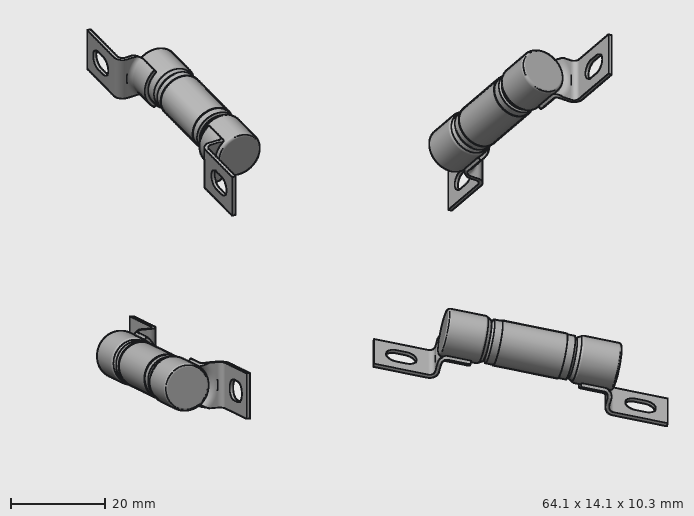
import cadquery as cq
import math


overall_length = 64.05
width_past_axis = 8.95

cap_diameter = 10.3
cap_radius = cap_diameter / 2
cap_wall = 0.4
cap_end_x = 18.95
cap_end_fillet = 0.7
crimp_start_x = 10.55
crimp_length = 1.2
crimp_drop = 0.7
crimp_corner_fillet = 0.5
rim_fillet = 0.2

barrel_radius = cap_radius - cap_wall
groove_depth = 0.7
groove_center_x = 9.5
groove_shoulder_x = 8.8
label_radius = 4.9
label_length = 14.1

strip_thickness = 0.85
foot_half_width = 4.9
saddle_half_width = 4.75
saddle_inner_x = 12.05
saddle_bend_radius = 1.85
foot_bend_radius = 1.2
slot_center_x = 26.05
slot_length = 6.65
slot_width = 4.5

saddle_outer_radius = cap_radius + strip_thickness
saddle_half_angle = math.asin(saddle_half_width / saddle_outer_radius)
saddle_edge_y = -saddle_outer_radius * math.cos(saddle_half_angle)
saddle_bend_x = cap_end_x - saddle_bend_radius
saddle_bend_outer = cap_radius + saddle_bend_radius
web_inner_x = cap_end_x - strip_thickness
web_corner_y = -math.sqrt(saddle_bend_outer**2 - foot_half_width**2)
diagonal = math.sqrt(0.5)


def turned(outline):
    """Solid of revolution of an XY outline about the fuse axis."""
    return outline.close().revolve(360, (0, 0, 0), (1, 0, 0))


def make_barrel():
    """Solid barrel with a round crimping groove near each end; it fills both caps."""
    seat_x = cap_end_x - cap_wall
    barrel = cq.Workplane("YZ", origin=(-seat_x, 0, 0)).circle(barrel_radius).extrude(2 * seat_x)
    for side in (-1, 1):
        groove = (
            cq.Workplane("XY")
            .moveTo(side * groove_shoulder_x, barrel_radius)
            .threePointArc(
                (side * groove_center_x, barrel_radius - groove_depth),
                (side * (2 * groove_center_x - groove_shoulder_x), barrel_radius),
            )
        )
        barrel = barrel.cut(turned(groove))
    return barrel


def make_label(barrel):
    """Thin sleeve around the middle of the barrel."""
    left_end = cq.Workplane("YZ", origin=(-label_length / 2, 0, 0))
    return left_end.circle(label_radius).extrude(label_length).cut(barrel)


def make_cap(barrel):
    """Cup over the +X end of the barrel, its rim crimped into the groove."""
    rim_x = crimp_start_x - crimp_length
    outline = [
        (rim_x, 0),
        (rim_x, cap_radius - crimp_drop),
        (crimp_start_x, cap_radius),
        (cap_end_x, cap_radius),
        (cap_end_x, 0),
    ]
    cap = turned(cq.Workplane("XY").polyline(outline))
    cap = cap.faces(">X").edges().fillet(cap_end_fillet)
    cap = cap.faces("<X").edges().fillet(rim_fillet)
    crimp_corner = cq.selectors.NearestToPointSelector((crimp_start_x, 0, 0))
    cap = cap.edges(crimp_corner).fillet(crimp_corner_fillet)
    return cap.cut(barrel)


def make_strip_outline():
    """Prism along X that sets the strip's width, narrowing from the web to the saddle."""
    upper_half = [
        (-width_past_axis, foot_half_width),
        (web_corner_y, foot_half_width),
        (saddle_edge_y, saddle_half_width),
    ]
    lower_half = [(y, -z) for y, z in reversed(upper_half)]
    return cq.Workplane("YZ").polyline(upper_half + lower_half).close().extrude(overall_length / 2)


def make_saddle():
    """Ring sector that hugs the -Y side of the cap."""
    half_angle = math.degrees(saddle_half_angle)
    return (
        cq.Workplane("XY", origin=(saddle_inner_x, 0, 0))
        .moveTo(0, -cap_radius)
        .lineTo(saddle_bend_x - saddle_inner_x, -cap_radius)
        .lineTo(saddle_bend_x - saddle_inner_x, -saddle_outer_radius)
        .lineTo(0, -saddle_outer_radius)
        .close()
        .revolve(2 * half_angle, (0, 0, 0), (1, 0, 0))
        .rotate((0, 0, 0), (1, 0, 0), -half_angle)
    )


def make_saddle_bend():
    """Flare from the saddle to the web: a turned arc trimmed to width, thickened toward the cap."""
    tight_radius = saddle_bend_radius - strip_thickness
    arc = cq.Edge.makeThreePointArc(
        cq.Vector(saddle_bend_x, -saddle_outer_radius, 0),
        cq.Vector(
            saddle_bend_x + tight_radius * diagonal,
            -saddle_bend_outer + tight_radius * diagonal,
            0,
        ),
        cq.Vector(web_inner_x, -saddle_bend_outer, 0),
    )
    half_turn = arc.rotate(cq.Vector(), cq.Vector(1, 0, 0), -90)
    flare = cq.occ_impl.shapes.revolve(half_turn, (0, 0, 0), (1, 0, 0), 180)
    trimmed = flare.intersect(make_strip_outline().val()).Faces()[0]
    return cq.Workplane(trimmed.thicken(-strip_thickness))


def make_web_and_foot():
    """Flat web beside the cap's end, bent outward into the foot; the web starts at the flare."""
    foot_inner_y = strip_thickness - width_past_axis
    bend_x = cap_end_x + foot_bend_radius
    bend_y = foot_inner_y + foot_bend_radius
    wide_radius = foot_bend_radius + strip_thickness
    profile = (
        cq.Workplane("XY")
        .moveTo(web_inner_x, saddle_edge_y)
        .lineTo(cap_end_x, saddle_edge_y)
        .lineTo(cap_end_x, bend_y)
        .threePointArc(
            (bend_x - foot_bend_radius * diagonal, bend_y - foot_bend_radius * diagonal),
            (bend_x, foot_inner_y),
        )
        .lineTo(overall_length / 2, foot_inner_y)
        .lineTo(overall_length / 2, -width_past_axis)
        .lineTo(bend_x, -width_past_axis)
        .threePointArc(
            (bend_x - wide_radius * diagonal, bend_y - wide_radius * diagonal),
            (web_inner_x, bend_y),
        )
        .close()
        .extrude(foot_half_width, both=True)
    )
    flare_space = cq.Workplane("YZ").circle(saddle_bend_outer).extrude(overall_length / 2)
    return profile.cut(flare_space)


def make_terminal():
    """Saddle, web and slotted foot of the +X terminal."""
    terminal = make_saddle().union(make_saddle_bend()).union(make_web_and_foot())
    slot = (
        cq.Workplane("XZ", origin=(slot_center_x, 0, 0))
        .slot2D(slot_length, slot_width)
        .extrude(width_past_axis)
    )
    return terminal.cut(slot)


barrel = make_barrel()
label = make_label(barrel)
cap = make_cap(barrel)
terminal = make_terminal()

bodies = [barrel.solids().val(), label.solids().val()]
for end_body in (cap, terminal):
    bodies.append(end_body.solids().val())
    bodies.append(end_body.mirror("YZ").solids().val())

result = cq.Compound.makeCompound(bodies)